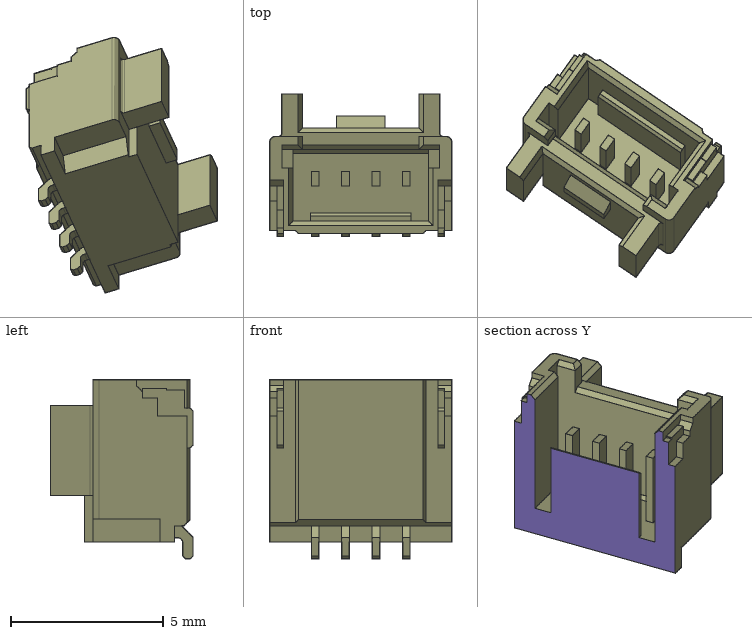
import cadquery as cq


WIDTH = 6.0
HALF_WIDTH = WIDTH / 2
BODY_DEPTH = 3.1
TOP_Z = 5.35
BODY_BOTTOM_Z = 0.54
CORNER_RADIUS = 0.2
PANEL_RISE = 0.1
PANEL_HALF_WIDTH = 2.15
FRONT_BOTTOM_CHAMFER = 0.1

BASE_FRONT_Y = 0.41
FOOT_BACK_Y = 0.89
UNDERCUT_Z = 0.76
UNDERCUT_TOP_HALF_WIDTH = 2.2
UNDERCUT_BOTTOM_HALF_WIDTH = 2.0

BACK_PANEL_Y = 3.38
SILL_Z = 4.5
WINDOW_HALF_WIDTH = 1.91
TAB_HALF_WIDTH = 2.6
TAB_BACK_Y = 4.5
TAB_BOTTOM_Z = 1.53
TAB_FILLET = 0.1
BUMP_WIDTH = 1.6
BUMP_PROJECTION = 0.39
BUMP_TOP_Z = 4.0
BUMP_RAMP_DROP = 0.45
BUMP_BOTTOM_Z = 3.0

LEAD_IN = 0.15
LEAD_IN_ANGLE = 45
CAVITY_HALF_WIDTH = 2.225
CAVITY_FRONT_Y = 0.315
CAVITY_BACK_Y = 2.66
FLOOR_Z = 1.0
FLOOR_CHAMFER = 0.12
KEYWAY_HALF_WIDTH = 2.59
KEYWAY_FRONT_Y = 2.06
KEYWAY_FLOOR_Z = 1.5
RIB_HALF_WIDTH = 1.65
RIB_DEPTH = 0.26
RIB_CHAMFER = 0.1
RIB_TOP_Z = 3.5

CONTACT_COUNT = 4
CONTACT_PITCH = 1.0
CONTACT_WIDTH = 0.25
CONTACT_FRONT_Y = 1.46
CONTACT_BACK_Y = 1.95
CONTACT_TOP_Z = 3.5
LEAD_FRONT_Y = -0.2
LEAD_BACK_Y = 0.15
LEAD_BOTTOM_Z = -0.55
LEAD_UNDERSIDE_Z = 0.14
LEAD_SHOULDER_Z = 0.16
LEAD_BEND_RADIUS = 0.15
LEAD_TIP_CHAMFER = 0.1

CLIP_INNER_X = 2.54
CLIP_THICKNESS = 0.21
CLIP_TOP_Z = 5.06
CLIP_STEP_Z = 5.01
CLIP_STEP_Y = 0.67
CLIP_SHOULDER_Y = 0.08
CLIP_NOSE_TIP_Y = -0.2
CLIP_NOSE_TOP_Z = 4.41
CLIP_NOSE_BOTTOM_Z = 3.1
CLIP_NOSE_CHAMFER = 0.1
POCKET_BACK_Y = 1.47
POCKET_BACK_Z = 4.75
POCKET_STEP_Y = 0.98
POCKET_FRONT_Z = 4.15
POCKET_CHAMFER = 0.2
POCKET_CHAMFER_Z = 5.15


def block(x0, x1, y0, y1, z0, z1):
    """Axis-aligned box between two corners."""
    return cq.Workplane("XY").box(x1 - x0, y1 - y0, z1 - z0, centered=False).translate((x0, y0, z0))


def centred_block(half_width, y0, y1, z0, z1):
    """Box that is symmetric about X = 0."""
    return block(-half_width, half_width, y0, y1, z0, z1)


def extrude_yz(outline, x0, x1):
    """Closed outline of (y, z) points, extruded from x0 to x1."""
    return cq.Workplane("YZ").polyline(outline).close().extrude(x1 - x0).translate((x0, 0, 0))


def extrude_xz(outline, y0, y1):
    """Closed outline of (x, z) points, extruded from y0 to y1."""
    return cq.Workplane("XZ").polyline(outline).close().extrude(y0 - y1).translate((0, y0, 0))


def funnel(half_width, y0, y1, top_z):
    """Cutter that chamfers the rim of a rectangular opening at 45 degrees."""
    return (
        cq.Workplane("XY")
        .workplane(offset=top_z)
        .center(0, (y0 + y1) / 2)
        .rect(2 * (half_width + LEAD_IN), y1 - y0 + 2 * LEAD_IN)
        .extrude(-LEAD_IN, taper=LEAD_IN_ANGLE)
    )


def both_sides(solid):
    """The solid together with its mirror image in the YZ plane."""
    return solid.union(solid.mirror("YZ"))


def make_shell():
    """Outer block with rounded back corners, a raised front panel and a chamfered bottom front edge."""
    shell = centred_block(HALF_WIDTH, 0, BODY_DEPTH, BODY_BOTTOM_Z, TOP_Z)
    shell = shell.edges("|Z and >Y").fillet(CORNER_RADIUS)
    panel = (
        cq.Workplane("XY")
        .workplane(offset=BODY_BOTTOM_Z)
        .polyline(
            [
                (-PANEL_HALF_WIDTH, 0),
                (-PANEL_HALF_WIDTH + PANEL_RISE, -PANEL_RISE),
                (PANEL_HALF_WIDTH - PANEL_RISE, -PANEL_RISE),
                (PANEL_HALF_WIDTH, 0),
            ]
        )
        .close()
        .extrude(TOP_Z - BODY_BOTTOM_Z)
    )
    chamfer_drop = FRONT_BOTTOM_CHAMFER + PANEL_RISE
    bottom_chamfer = extrude_yz(
        [
            (FRONT_BOTTOM_CHAMFER, BODY_BOTTOM_Z),
            (-PANEL_RISE, BODY_BOTTOM_Z + chamfer_drop),
            (-PANEL_RISE, BODY_BOTTOM_Z),
        ],
        -HALF_WIDTH,
        HALF_WIDTH,
    )
    return shell.union(panel).cut(bottom_chamfer)


def make_base():
    """Base below the body: its underside lies at Z = 0."""
    return centred_block(HALF_WIDTH, BASE_FRONT_Y, BODY_DEPTH, 0, BODY_BOTTOM_Z)


def make_undercuts():
    """Material removed under each side, behind the front foot."""
    side = extrude_xz(
        [
            (UNDERCUT_BOTTOM_HALF_WIDTH, 0),
            (UNDERCUT_TOP_HALF_WIDTH, UNDERCUT_Z),
            (HALF_WIDTH, UNDERCUT_Z),
            (HALF_WIDTH, 0),
        ],
        FOOT_BACK_Y,
        BODY_DEPTH,
    )
    return both_sides(side)


def make_latch_side():
    """Back panel and side tabs, chamfered along the inner edge of their U-shaped top."""
    panel = centred_block(WINDOW_HALF_WIDTH, BODY_DEPTH, BACK_PANEL_Y, 0, SILL_Z)
    tab = block(WINDOW_HALF_WIDTH, TAB_HALF_WIDTH, BODY_DEPTH, TAB_BACK_Y, TAB_BOTTOM_Z, SILL_Z)
    root = (
        cq.Workplane("XY")
        .workplane(offset=TAB_BOTTOM_Z)
        .moveTo(TAB_HALF_WIDTH, BODY_DEPTH)
        .line(TAB_FILLET, 0)
        .radiusArc((TAB_HALF_WIDTH, BODY_DEPTH + TAB_FILLET), TAB_FILLET)
        .close()
        .extrude(SILL_Z - TAB_BOTTOM_Z)
    )
    edge_chamfer = funnel(WINDOW_HALF_WIDTH, BACK_PANEL_Y, TAB_BACK_Y + LEAD_IN, SILL_Z)
    return panel.union(both_sides(tab.union(root))).cut(edge_chamfer)


def make_bump():
    """Latch bump on the back panel with a ramp on top."""
    bump_y = BACK_PANEL_Y + BUMP_PROJECTION
    return extrude_yz(
        [
            (BACK_PANEL_Y, BUMP_BOTTOM_Z),
            (bump_y, BUMP_BOTTOM_Z),
            (bump_y, BUMP_TOP_Z - BUMP_RAMP_DROP),
            (BACK_PANEL_Y, BUMP_TOP_Z),
        ],
        -BUMP_WIDTH / 2,
        BUMP_WIDTH / 2,
    )


def make_cavity():
    """Mating cavity with its keyways, rim chamfers and the window between the rear posts."""
    cavity = extrude_yz(
        [
            (CAVITY_FRONT_Y, FLOOR_Z),
            (CAVITY_BACK_Y - FLOOR_CHAMFER, FLOOR_Z),
            (CAVITY_BACK_Y, FLOOR_Z + FLOOR_CHAMFER),
            (CAVITY_BACK_Y, TOP_Z),
            (CAVITY_FRONT_Y, TOP_Z),
        ],
        -CAVITY_HALF_WIDTH,
        CAVITY_HALF_WIDTH,
    )
    rim = funnel(CAVITY_HALF_WIDTH, CAVITY_FRONT_Y, CAVITY_BACK_Y, TOP_Z)
    keyways = centred_block(KEYWAY_HALF_WIDTH, KEYWAY_FRONT_Y, CAVITY_BACK_Y, KEYWAY_FLOOR_Z, TOP_Z)
    window = extrude_xz(
        [
            (-WINDOW_HALF_WIDTH, SILL_Z),
            (-WINDOW_HALF_WIDTH, TOP_Z - LEAD_IN),
            (-WINDOW_HALF_WIDTH - LEAD_IN, TOP_Z),
            (WINDOW_HALF_WIDTH + LEAD_IN, TOP_Z),
            (WINDOW_HALF_WIDTH, TOP_Z - LEAD_IN),
            (WINDOW_HALF_WIDTH, SILL_Z),
        ],
        CAVITY_BACK_Y,
        BODY_DEPTH,
    )
    post_chamfer = make_back_chamfer(KEYWAY_HALF_WIDTH, TOP_Z)
    sill_chamfer = make_back_chamfer(WINDOW_HALF_WIDTH, SILL_Z)
    return cavity.union(rim).union(keyways).union(window).union(post_chamfer).union(sill_chamfer)


def make_back_chamfer(half_width, top_z):
    """Cutter for the inner top edge of the back wall where that edge lies at top_z."""
    return extrude_yz(
        [
            (CAVITY_BACK_Y, top_z - LEAD_IN),
            (CAVITY_BACK_Y + LEAD_IN, top_z),
            (CAVITY_BACK_Y, top_z),
        ],
        -half_width,
        half_width,
    )


def make_rib():
    """Rib inside the front wall, chamfered on its upper edge."""
    rib_back_y = CAVITY_FRONT_Y + RIB_DEPTH
    return extrude_yz(
        [
            (CAVITY_FRONT_Y, FLOOR_Z),
            (rib_back_y, FLOOR_Z),
            (rib_back_y, RIB_TOP_Z - RIB_CHAMFER),
            (rib_back_y - RIB_CHAMFER, RIB_TOP_Z),
            (CAVITY_FRONT_Y, RIB_TOP_Z),
        ],
        -RIB_HALF_WIDTH,
        RIB_HALF_WIDTH,
    )


def make_contact(x):
    """One contact: an upright post in the cavity and a bent lead that leaves under the front."""
    left = x - CONTACT_WIDTH / 2
    right = x + CONTACT_WIDTH / 2
    post = block(left, right, CONTACT_FRONT_Y, CONTACT_BACK_Y, FLOOR_Z, CONTACT_TOP_Z)
    slope_run = BODY_BOTTOM_Z - LEAD_SHOULDER_Z
    bend_start_y = LEAD_BACK_Y + LEAD_BEND_RADIUS
    lead = (
        cq.Workplane("YZ")
        .moveTo(BASE_FRONT_Y, BODY_BOTTOM_Z)
        .lineTo(LEAD_FRONT_Y + slope_run, BODY_BOTTOM_Z)
        .lineTo(LEAD_FRONT_Y, LEAD_SHOULDER_Z)
        .lineTo(LEAD_FRONT_Y, LEAD_BOTTOM_Z + LEAD_TIP_CHAMFER)
        .lineTo(LEAD_FRONT_Y + LEAD_TIP_CHAMFER, LEAD_BOTTOM_Z)
        .lineTo(LEAD_BACK_Y - LEAD_TIP_CHAMFER, LEAD_BOTTOM_Z)
        .lineTo(LEAD_BACK_Y, LEAD_BOTTOM_Z + LEAD_TIP_CHAMFER)
        .lineTo(LEAD_BACK_Y, LEAD_UNDERSIDE_Z - LEAD_BEND_RADIUS)
        .radiusArc((bend_start_y, LEAD_UNDERSIDE_Z), LEAD_BEND_RADIUS)
        .lineTo(BASE_FRONT_Y, LEAD_UNDERSIDE_Z)
        .close()
        .extrude(CONTACT_WIDTH)
        .translate((left, 0, 0))
    )
    return post.union(lead)


def make_clip_pockets():
    """Stepped notches in the upper front corners that expose the clips."""
    side = extrude_yz(
        [
            (POCKET_BACK_Y + POCKET_CHAMFER, TOP_Z),
            (POCKET_BACK_Y + POCKET_CHAMFER, POCKET_CHAMFER_Z),
            (POCKET_BACK_Y, POCKET_CHAMFER_Z - POCKET_CHAMFER),
            (POCKET_BACK_Y, POCKET_BACK_Z),
            (POCKET_STEP_Y, POCKET_BACK_Z),
            (POCKET_STEP_Y, POCKET_FRONT_Z),
            (0, POCKET_FRONT_Z),
            (0, TOP_Z),
        ],
        CLIP_INNER_X,
        HALF_WIDTH,
    )
    return both_sides(side)


def make_clips():
    """Sheet-metal clips on both sides with a nose that stands out of the front."""
    nose_root_y = CLIP_NOSE_TIP_Y + CLIP_NOSE_CHAMFER
    side = extrude_yz(
        [
            (POCKET_BACK_Y, CLIP_TOP_Z),
            (CLIP_STEP_Y, CLIP_TOP_Z),
            (CLIP_STEP_Y, CLIP_STEP_Z),
            (CLIP_SHOULDER_Y, CLIP_STEP_Z),
            (CLIP_SHOULDER_Y, CLIP_NOSE_TOP_Z),
            (nose_root_y, CLIP_NOSE_TOP_Z),
            (CLIP_NOSE_TIP_Y, CLIP_NOSE_TOP_Z - CLIP_NOSE_CHAMFER),
            (CLIP_NOSE_TIP_Y, CLIP_NOSE_BOTTOM_Z + CLIP_NOSE_CHAMFER),
            (nose_root_y, CLIP_NOSE_BOTTOM_Z),
            (POCKET_STEP_Y, CLIP_NOSE_BOTTOM_Z),
            (POCKET_STEP_Y, POCKET_BACK_Z),
            (POCKET_BACK_Y, POCKET_BACK_Z),
        ],
        CLIP_INNER_X,
        CLIP_INNER_X + CLIP_THICKNESS,
    )
    return both_sides(side)


housing = make_shell().union(make_base()).cut(make_undercuts()).cut(make_cavity()).cut(make_clip_pockets())
result = housing.union(make_latch_side()).union(make_bump()).union(make_rib()).union(make_clips())
for index in range(CONTACT_COUNT):
    contact_x = (index - (CONTACT_COUNT - 1) / 2) * CONTACT_PITCH
    result = result.union(make_contact(contact_x))